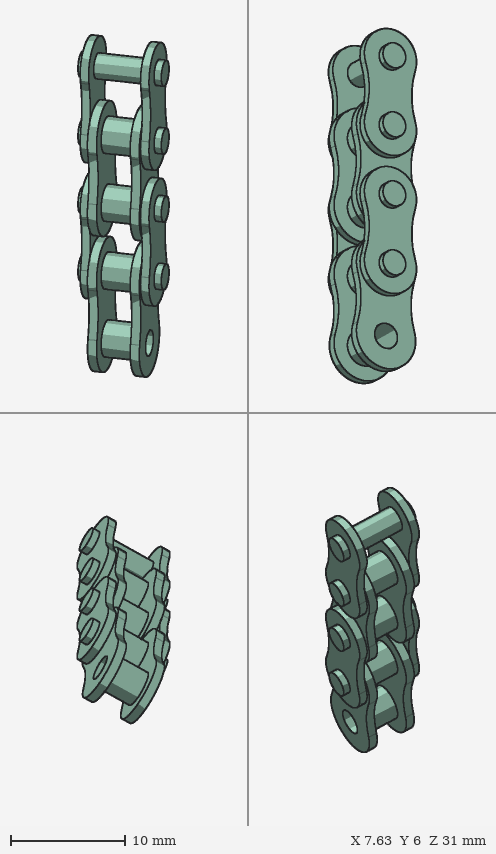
import cadquery as cq
import math

chain_length = 31.03
link_pairs = 2

pin_diameter = 2.3
pin_length = 7.63
roller_diameter = 3.3

inner_plate_width = 6.0
outer_plate_width = 5.28
inner_plate_radius = inner_plate_width / 2
outer_plate_radius = outer_plate_width / 2
waist_radius = 8.0
roller_length = 3.07
inner_plate_thickness = 0.85
outer_plate_thickness = 0.78

pitch = (chain_length - inner_plate_radius - outer_plate_radius) / (2 * link_pairs)

inner_plate_start = roller_length / 2
outer_plate_start = inner_plate_start + inner_plate_thickness


def cylinder(diameter, length, z):
    """Round bar along X, centred on X = 0 at height z."""
    return cq.Workplane("YZ", origin=(-length / 2, 0, z)).circle(diameter / 2).extrude(length)


def link_plate(end_radius, thickness, x_start):
    """Waisted plate from x_start towards +X, with its end centres at Z = 0 and Z = pitch."""
    tangent_angle = math.asin(pitch / 2 / (end_radius + waist_radius))
    tangent_y = end_radius * math.cos(tangent_angle)
    tangent_z = end_radius * math.sin(tangent_angle)
    waist_y = (end_radius + waist_radius) * math.cos(tangent_angle) - waist_radius
    return (
        cq.Workplane("YZ", origin=(x_start, 0, 0))
        .moveTo(tangent_y, tangent_z)
        .threePointArc((waist_y, pitch / 2), (tangent_y, pitch - tangent_z))
        .threePointArc((0, pitch + end_radius), (-tangent_y, pitch - tangent_z))
        .threePointArc((-waist_y, pitch / 2), (-tangent_y, tangent_z))
        .threePointArc((0, -end_radius), (tangent_y, tangent_z))
        .close()
        .extrude(thickness)
    )


def plate_pair(end_radius, thickness, x_start):
    """The two facing plates of a link, mirrored about the middle of the chain."""
    plate = link_plate(end_radius, thickness, x_start)
    return plate.union(plate.mirror("YZ"))


def make_inner_link():
    """Two plates joined by two rollers, bored through for the pins."""
    link = plate_pair(inner_plate_radius, inner_plate_thickness, inner_plate_start)
    for z in (0, pitch):
        link = link.union(cylinder(roller_diameter, roller_length, z))
    for z in (0, pitch):
        link = link.cut(cylinder(pin_diameter, pin_length, z))
    return link


def make_outer_link():
    """Two plates joined by two pins that stand out past the plates."""
    link = plate_pair(outer_plate_radius, outer_plate_thickness, outer_plate_start)
    for z in (0, pitch):
        link = link.union(cylinder(pin_diameter, pin_length, z))
    return link


links = []
for pair in range(link_pairs):
    inner_z = 2 * pair * pitch
    outer_z = inner_z + pitch
    inner_link = make_inner_link().translate((0, 0, inner_z))
    outer_link = make_outer_link().translate((0, 0, outer_z))
    links += [inner_link.solids().val(), outer_link.solids().val()]

result = cq.Compound.makeCompound(links)